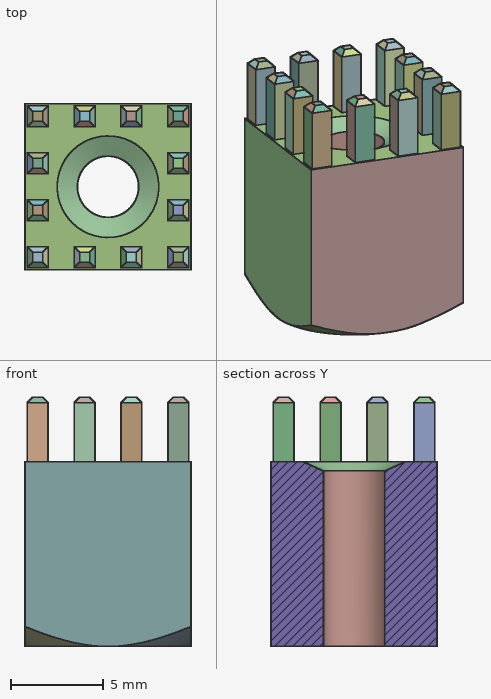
import cadquery as cq
import math

body_side = 9.0
body_height = 10.0
corner_cone_angle = 30.0

hole_diameter = 3.3
sink_diameter = 5.5
sink_depth = 0.5

pin_pitch = 2.54
pins_per_side = 4
pin_side = 1.14
pin_height = 3.5
pin_tip_chamfer = 0.3


def make_body():
    """Block trimmed by a cone that touches the middle of each bottom edge."""
    block = cq.Workplane("XY").box(body_side, body_side, body_height, centered=(True, True, False))
    inner_radius = body_side / 2
    outer_radius = body_side
    cone_rise = (outer_radius - inner_radius) * math.tan(math.radians(corner_cone_angle))
    envelope = (
        cq.Workplane("XZ")
        .moveTo(0, 0)
        .lineTo(inner_radius, 0)
        .lineTo(outer_radius, cone_rise)
        .lineTo(outer_radius, body_height)
        .lineTo(0, body_height)
        .close()
        .revolve(360, (0, 0, 0), (0, 1, 0))
    )
    return block.intersect(envelope)


def make_hole_cutter():
    """Through hole with a conical countersink at the top."""
    hole_radius = hole_diameter / 2
    return (
        cq.Workplane("XZ")
        .moveTo(0, 0)
        .lineTo(hole_radius, 0)
        .lineTo(hole_radius, body_height - sink_depth)
        .lineTo(sink_diameter / 2, body_height)
        .lineTo(0, body_height)
        .close()
        .revolve(360, (0, 0, 0), (0, 1, 0))
    )


def pin_positions():
    """Centres of the outer ring of a square grid of pins."""
    last = pins_per_side - 1
    positions = []
    for column in range(pins_per_side):
        for row in range(pins_per_side):
            if column in (0, last) or row in (0, last):
                x = (column - last / 2) * pin_pitch
                y = (row - last / 2) * pin_pitch
                positions.append((x, y))
    return positions


def make_pins():
    """Square pins with the four edges of each tip chamfered."""
    return (
        cq.Workplane("XY", origin=(0, 0, body_height))
        .pushPoints(pin_positions())
        .rect(pin_side, pin_side)
        .extrude(pin_height)
        .faces(">Z")
        .chamfer(pin_tip_chamfer)
    )


result = make_body().cut(make_hole_cutter()).union(make_pins())